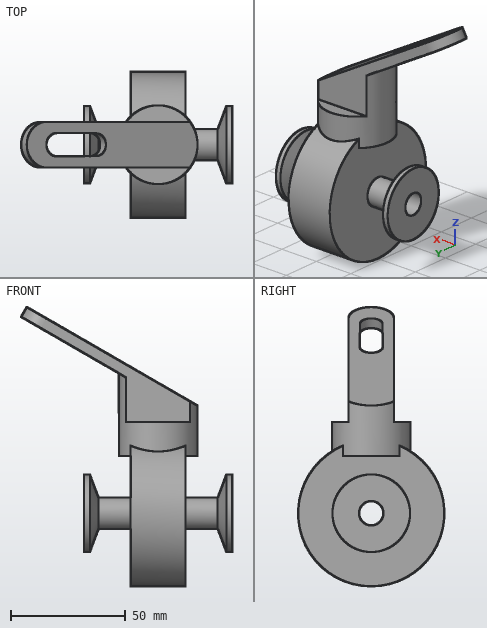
import cadquery as cq
import math

overall_height = 122.2
wheel_radius = 32.0
wheel_width = 24.0

spindle_diameter = 13.8
bore_diameter = 10.5
flange_diameter = 34.0
flange_rim = 2.7
flare_length = 3.8
spindle_length = 65.0

stem_diameter = 34.5
stem_bottom = 24.9
shoulder_z = 40.0
lever_width = 20.0
lever_thickness = 5.0
lever_angle = math.radians(30)
top_z = overall_height - wheel_radius
tip_x = -57.5

slot_width = 10.0
slot_near_end = 10.0
slot_length = 30.0

stem_radius = stem_diameter / 2
lever_radius = lever_width / 2


def make_spindle():
    """Revolve the shaft and both flared flanges about X."""
    end = spindle_length / 2
    rim = end - flange_rim
    neck = rim - flare_length
    shaft_r = spindle_diameter / 2
    flange_r = flange_diameter / 2
    profile = [
        (-end, 0), (-end, flange_r), (-rim, flange_r), (-neck, shaft_r),
        (neck, shaft_r), (rim, flange_r), (end, flange_r), (end, 0),
    ]
    return cq.Workplane("XY").polyline(profile).close().revolve(360, (0, 0, 0), (1, 0, 0))


def make_stem():
    """Round stem, cut by the slope, with flats above the shoulder beside the lever."""
    height = top_z - stem_bottom
    stem = cq.Workplane("XY").workplane(offset=stem_bottom).circle(stem_radius).extrude(height)
    slope_drop = (stem_radius - tip_x) * math.tan(lever_angle)
    below_slope = (
        cq.Workplane("XZ")
        .polyline([
            (tip_x, stem_bottom), (tip_x, top_z),
            (stem_radius, top_z - slope_drop), (stem_radius, stem_bottom),
        ])
        .close()
        .extrude(stem_radius, both=True)
    )
    shoulder = cq.Workplane("XY").circle(stem_radius).extrude(shoulder_z)
    web = cq.Workplane("XY").box(stem_diameter, lever_width, top_z, centered=(True, True, False))
    return stem.intersect(below_slope).intersect(shoulder.union(web))


def make_lever():
    """Flat lever on the slope, with a rounded tip and a rounded slot."""
    slope = cq.Plane(
        origin=(tip_x, 0, top_z),
        xDir=(math.cos(lever_angle), 0, -math.sin(lever_angle)),
        normal=(math.sin(lever_angle), 0, math.cos(lever_angle)),
    )
    root = -tip_x / math.cos(lever_angle)
    lever = (
        cq.Workplane(slope)
        .moveTo(root, -lever_radius)
        .lineTo(lever_radius, -lever_radius)
        .threePointArc((0, 0), (lever_radius, lever_radius))
        .lineTo(root, lever_radius)
        .close()
        .extrude(-lever_thickness)
    )
    slot = (
        cq.Workplane(slope)
        .center(slot_near_end + slot_length / 2, 0)
        .slot2D(slot_length, slot_width)
        .extrude(-lever_thickness)
    )
    return lever.cut(slot)


wheel = cq.Workplane("YZ").circle(wheel_radius).extrude(wheel_width / 2, both=True)
bore = cq.Workplane("YZ").circle(bore_diameter / 2).extrude(spindle_length, both=True)
result = wheel.union(make_spindle()).union(make_stem()).union(make_lever()).cut(bore)